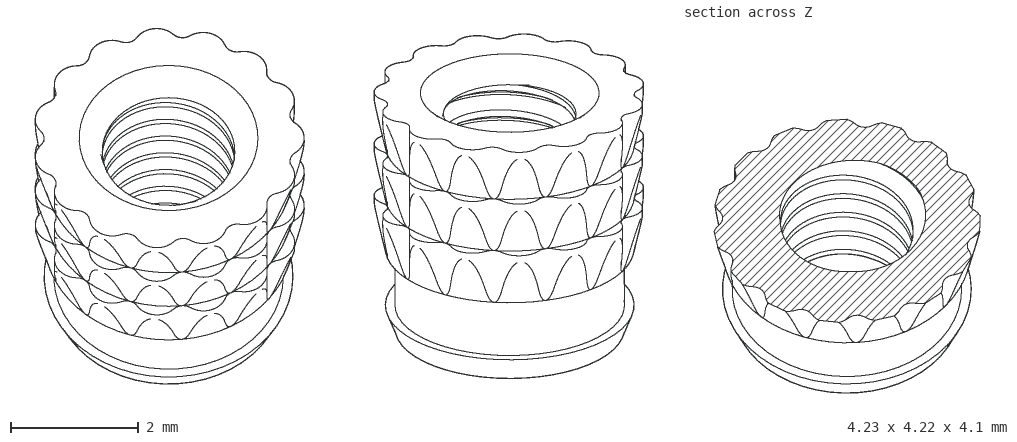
import cadquery as cq
import math

flange_height = 0.4
neck_height = 0.995
ring_height = 0.9
ring_count = 3
rings_base = flange_height + neck_height
total_height = rings_base + ring_count * ring_height

neck_radius = 1.798
flange_radius = 1.95
ring_base_radius = 1.95
ring_top_radius = 2.15

tooth_count = 15
valley_radius = ring_base_radius
tip_radius = 4.25 / 2
valley_arc_radius = 0.2
first_valley_angle = 7.2
tooth_pitch = 360 / tooth_count

minor_radius = 2.075 / 2
root_radius = 2.58 / 2
countersink_radius = 2.8 / 2
countersink_depth = countersink_radius - minor_radius
bore_top = total_height - countersink_depth
thread_pitch = 0.45
crest_width = 0.115
flank_angle = 30
thread_start = -0.427


def polar(radius, angle):
    """Point in the XY plane at a radius and an angle in degrees."""
    return (radius * math.cos(math.radians(angle)), radius * math.sin(math.radians(angle)))


def turned_body():
    """Solid of revolution: tapered flange, neck and a stack of tapered rings."""
    outline = [(0, 0), (neck_radius, 0), (flange_radius, flange_height)]
    outline += [(neck_radius, flange_height), (neck_radius, rings_base)]
    for ring in range(ring_count):
        ring_base = rings_base + ring * ring_height
        outline.append((ring_base_radius, ring_base))
        outline.append((ring_top_radius, ring_base + ring_height))
    outline.append((0, total_height))
    return cq.Workplane("XZ").polyline(outline).close().revolve(360, (0, 0), (0, 1))


def scalloped_prism():
    """Prism over the ring heights, its outline made of tangent valley and tooth arcs."""
    half_pitch = tooth_pitch / 2
    valley_center = valley_radius + valley_arc_radius
    half_cos = math.cos(math.radians(half_pitch))
    tooth_arc_radius = (
        valley_center**2 + tip_radius**2 - 2 * valley_center * tip_radius * half_cos - valley_arc_radius**2
    ) / (2 * (valley_arc_radius + tip_radius - valley_center * half_cos))
    tooth_center = tip_radius - tooth_arc_radius
    share = valley_arc_radius / (valley_arc_radius + tooth_arc_radius)
    tooth_x, tooth_y = polar(tooth_center, half_pitch)
    meet_x = valley_center + share * (tooth_x - valley_center)
    meet_y = share * tooth_y
    meet_radius = math.hypot(meet_x, meet_y)
    meet_angle = math.degrees(math.atan2(meet_y, meet_x))

    outline = cq.Workplane("XY", origin=(0, 0, rings_base))
    outline = outline.moveTo(*polar(meet_radius, first_valley_angle - meet_angle))
    for tooth in range(tooth_count):
        valley = first_valley_angle + tooth * tooth_pitch
        next_valley = valley + tooth_pitch
        outline = outline.threePointArc(polar(valley_radius, valley), polar(meet_radius, valley + meet_angle))
        outline = outline.threePointArc(
            polar(tip_radius, valley + half_pitch), polar(meet_radius, next_valley - meet_angle)
        )
    return outline.close().extrude(ring_count * ring_height)


def smooth_bore():
    """Through hole at the thread's minor diameter, opened by the countersink."""
    outline = [(0, 0), (minor_radius, 0), (minor_radius, bore_top), (countersink_radius, total_height)]
    outline.append((0, total_height))
    return cq.Workplane("XZ").polyline(outline).close().revolve(360, (0, 0), (0, 1))


def thread_groove():
    """Helical groove with sloped flanks, running out below and stopping under the countersink."""
    overlap = 0.02
    slope = math.tan(math.radians(flank_angle))
    inner_half = (thread_pitch - crest_width) / 2 + overlap * slope
    inner_radius = minor_radius - overlap
    root_half = inner_half - (root_radius - inner_radius) * slope
    section = [(inner_radius, -inner_half), (root_radius, -root_half)]
    section += [(root_radius, root_half), (inner_radius, inner_half)]

    run = bore_top - thread_start + thread_pitch
    helix = cq.Wire.makeHelix(thread_pitch, run, minor_radius, center=cq.Vector(0, 0, thread_start))
    coil = cq.Workplane("XZ", origin=(0, 0, thread_start)).polyline(section).close().sweep(helix, isFrenet=True)
    return coil.intersect(cq.Workplane("XY").circle(root_radius + overlap).extrude(bore_top))


lower_body = cq.Workplane("XY").circle(ring_top_radius).extrude(rings_base)
envelope = lower_body.union(scalloped_prism())
result = turned_body().intersect(envelope).cut(smooth_bore()).cut(thread_groove())